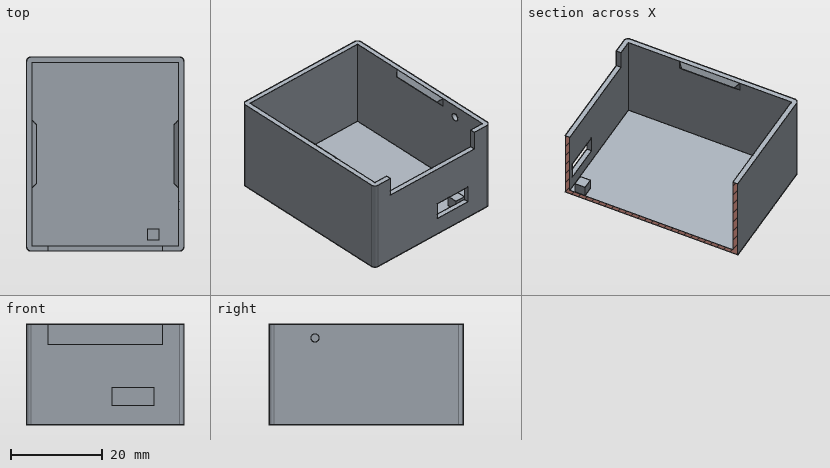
import cadquery as cq

width = 34.4
length = 42.4
height = 22.0
wall = 1.2
floor = 1.2
corner_radius = 1.0

notch_width = 25
notch_depth = 4.5

window_width = 9.1
window_height = 4.0
window_x = 6.05
window_bottom = 4.2

post_size = 2.5
post_height = 2.5
post_x = 10.5
post_y = -17.55

ridge_length = 14.85
ridge_depth = 1.0

hole_diameter = 1.8
hole_y = -11.2
hole_below_rim = 3.0

inner_width = width - 2 * wall
inner_length = length - 2 * wall
front_wall_y = -(length - wall) / 2


def make_shell():
    """Open box with rounded outer corners and a sharp-cornered cavity."""
    outside = cq.Workplane("XY").rect(width, length).extrude(height).edges("|Z").fillet(corner_radius)
    cavity = cq.Workplane("XY", origin=(0, 0, floor)).rect(inner_width, inner_length).extrude(height)
    return outside.cut(cavity)


def front_wall_cutter(cut_width, cut_height, x, bottom):
    """Block that passes only through the front wall."""
    return (
        cq.Workplane("XY", origin=(x, front_wall_y, bottom))
        .rect(cut_width, 2 * wall)
        .extrude(cut_height)
    )


def make_ridge(side):
    """Ridge with 45 degree faces on all sides; side is +1 for right, -1 for left."""
    wall_x = side * inner_width / 2
    crest_x = wall_x - side * ridge_depth
    middle_z = height - ridge_depth
    half_length = ridge_length / 2
    crest_half_length = half_length - ridge_depth
    wall_bottom = height - 2 * ridge_depth

    rear_top = (wall_x, half_length, height)
    rear_bottom = (wall_x, half_length, wall_bottom)
    front_top = (wall_x, -half_length, height)
    front_bottom = (wall_x, -half_length, wall_bottom)
    rear_crest = (crest_x, crest_half_length, middle_z)
    front_crest = (crest_x, -crest_half_length, middle_z)
    outlines = [
        [rear_top, front_top, front_bottom, rear_bottom],
        [rear_top, front_top, front_crest, rear_crest],
        [rear_bottom, front_bottom, front_crest, rear_crest],
        [rear_top, rear_bottom, rear_crest],
        [front_top, front_bottom, front_crest],
    ]
    faces = []
    for outline in outlines:
        corners = [cq.Vector(*point) for point in outline]
        faces.append(cq.Face.makeFromWires(cq.Wire.makePolygon(corners, close=True)))
    return cq.Workplane(obj=cq.Solid.makeSolid(cq.Shell.makeShell(faces)))


def make_post():
    return cq.Workplane("XY", origin=(post_x, post_y, floor)).rect(post_size, post_size).extrude(post_height)


def make_side_hole():
    hole_start = (inner_width / 2 - wall, hole_y, height - hole_below_rim)
    return cq.Workplane("YZ", origin=hole_start).circle(hole_diameter / 2).extrude(3 * wall)


notch = front_wall_cutter(notch_width, notch_depth, 0, height - notch_depth)
window = front_wall_cutter(window_width, window_height, window_x, window_bottom)

result = make_shell().cut(notch).cut(window).union(make_post())
for side in (-1, 1):
    result = result.union(make_ridge(side))
result = result.cut(make_side_hole())